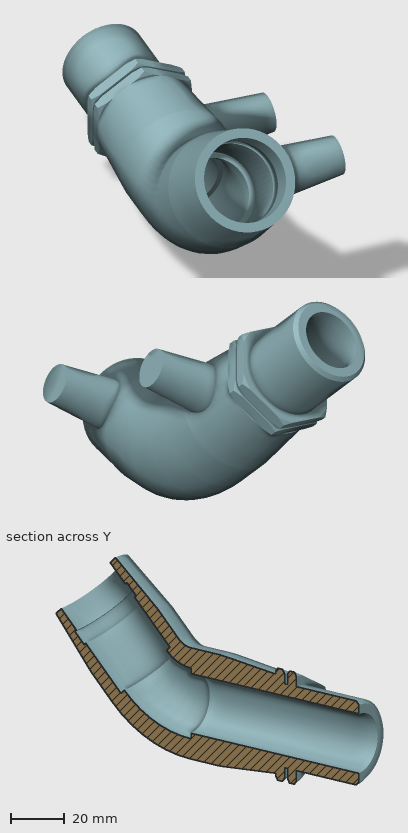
import cadquery as cq
import math

nipple_diameter = 33.3
nipple_chamfer = 1.4
nipple_bore = 23.3
nut_starts = (29.0, 34.5)
nut_width = 4.4
nut_across_flats = 38.4
nut_face_diameter = 40.9
nut_chamfer_angle = 30

body_diameter = 44.0
taper_end_diameter = 39.2
taper_length = 25.5
straight_length = 13.7
bend_radius = 30.0
bend_angle = 45
bend_bore = 27.6
body_start = nut_starts[-1] + nut_width
bend_start = body_start + taper_length + straight_length
arm_length = straight_length + taper_length

socket_diameter = 32.0
groove_diameter = 34.0
groove_near_depth = 10.2
groove_far_depth = 16.1

peg_tip_y = 43.0
peg_tip_diameter = 15.2
peg_half_angle = 5
peg_from_taper = 9.6

bend_radians = math.radians(bend_angle)
bend_end = (
    bend_start + bend_radius * math.sin(bend_radians),
    0,
    bend_radius * (1 - math.cos(bend_radians)),
)
arm_direction = (math.cos(bend_radians), 0, math.sin(bend_radians))


def along_arm(distance):
    """Point on the arm axis at a distance from the end of the bend."""
    return tuple(p + distance * d for p, d in zip(bend_end, arm_direction))


def rod(diameter, start, end):
    """Cylinder along the X axis."""
    return cq.Workplane("YZ", origin=(start, 0, 0)).circle(diameter / 2).extrude(end - start)


def arm_rod(diameter, start, end):
    """Cylinder along the arm axis, measured from the end of the bend."""
    plane = cq.Plane(origin=along_arm(start), xDir=(0, 1, 0), normal=arm_direction)
    return cq.Workplane(plane).circle(diameter / 2).extrude(end - start)


def bend(diameter):
    """Round bar swept around the elbow bend."""
    return (
        cq.Workplane("YZ", origin=(bend_start, 0, 0))
        .circle(diameter / 2)
        .revolve(bend_angle, (1.4, bend_radius, 0), (-1.4, bend_radius, 0))
    )


def tapered_sleeve(origin, direction):
    """Straight length followed by a taper, leaving the bend in a direction."""
    plane = cq.Plane(origin=origin, xDir=(0, 1, 0), normal=direction)
    straight = cq.Workplane(plane).circle(body_diameter / 2).extrude(straight_length)
    taper = cq.Solid.makeCone(
        body_diameter / 2,
        taper_end_diameter / 2,
        taper_length,
        pnt=plane.toWorldCoords((0, 0, straight_length)),
        dir=cq.Vector(*direction),
    )
    return straight.union(cq.Workplane(taper))


def nut(start):
    """Hexagon nut with corners up and down and both faces chamfered."""
    corner_diameter = nut_across_flats / math.cos(math.pi / 6)
    face_radius = nut_face_diameter / 2
    corner_radius = corner_diameter / 2
    chamfer = (corner_radius - face_radius) * math.tan(math.radians(nut_chamfer_angle))
    hexagon = (
        cq.Workplane("YZ", origin=(start, 0, 0))
        .transformed(rotate=(0, 0, 90))
        .polygon(6, corner_diameter)
        .extrude(nut_width)
    )
    envelope = (
        cq.Workplane("XZ", origin=(start, 0, 0))
        .moveTo(0, 0)
        .lineTo(0, face_radius)
        .lineTo(chamfer, corner_radius)
        .lineTo(nut_width - chamfer, corner_radius)
        .lineTo(nut_width, face_radius)
        .lineTo(nut_width, 0)
        .close()
        .revolve(360, (0, 0, 0), (1, 0, 0))
    )
    return hexagon.intersect(envelope)


def peg(base):
    """Peg from a point on the body axis, narrowing toward +Y."""
    tip_radius = peg_tip_diameter / 2
    base_radius = tip_radius + peg_tip_y * math.tan(math.radians(peg_half_angle))
    return cq.Workplane(
        cq.Solid.makeCone(base_radius, tip_radius, peg_tip_y, pnt=cq.Vector(*base), dir=cq.Vector(0, 1, 0))
    )


nipple = rod(nipple_diameter, 0, body_start).faces("<X").chamfer(nipple_chamfer)
result = bend(body_diameter)
result = result.union(tapered_sleeve((bend_start, 0, 0), (-1, 0, 0)))
result = result.union(tapered_sleeve(bend_end, arm_direction))
result = result.union(nipple)
for nut_start in nut_starts:
    result = result.union(nut(nut_start))

peg_distance = straight_length + peg_from_taper
for peg_base in ((bend_start - peg_distance, 0, 0), along_arm(peg_distance)):
    result = result.union(peg(peg_base))

result = result.cut(rod(nipple_bore, 0, bend_start))
result = result.cut(bend(bend_bore))
result = result.cut(arm_rod(socket_diameter, 0, arm_length))
result = result.cut(
    arm_rod(groove_diameter, arm_length - groove_far_depth, arm_length - groove_near_depth)
)